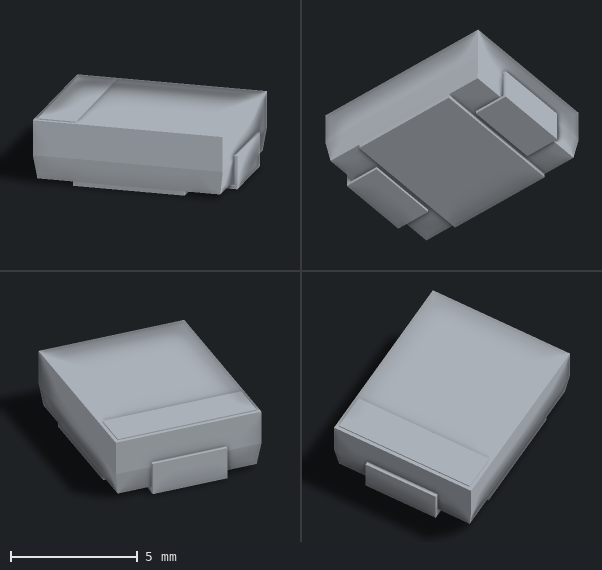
import cadquery as cq

overall_length = 8.13
overall_height = 2.67

housing_length = 7.82
housing_width = 6.25
edge_inset = 0.15
housing_bottom = 0.18
parting_height = 1.17
mark_thickness = 0.05
housing_top = overall_height - mark_thickness
base_length = housing_length - 2 * edge_inset
base_width = housing_width - 2 * edge_inset
standoff_length = 4.585

mark_length = 1.56
mark_width = housing_width - 2 * edge_inset

sheet_thickness = 0.12
terminal_width = 3.2
terminal_height = 1.38
foot_length = 1.53


def make_housing():
    """Moulded case with its standoff, in one piece."""
    upper = (
        cq.Workplane("XY", origin=(0, 0, parting_height))
        .rect(housing_length, housing_width)
        .extrude(housing_top - parting_height)
    )
    lower = (
        cq.Workplane("XY", origin=(0, 0, housing_bottom))
        .rect(base_length, base_width)
        .workplane(offset=parting_height - housing_bottom)
        .rect(housing_length, housing_width)
        .loft(ruled=True)
    )
    standoff = cq.Workplane("XY").rect(standoff_length, base_width).extrude(housing_bottom)
    return upper.union(lower).union(standoff)


def make_polarity_mark():
    """Thin rectangular plate resting on the housing."""
    center_x = -housing_length / 2 + edge_inset + mark_length / 2
    return (
        cq.Workplane("XY", origin=(center_x, 0, housing_top))
        .rect(mark_length, mark_width)
        .extrude(mark_thickness)
    )


def make_terminal(side):
    """Bent strip at one end: side is -1 for the -X end, +1 for the +X end."""
    outer_x = side * overall_length / 2
    inner_x = outer_x - side * sheet_thickness
    housing_x = side * housing_length / 2
    foot_x = outer_x - side * foot_length
    tab_bottom = terminal_height - sheet_thickness
    profile = [
        (foot_x, 0),
        (outer_x, 0),
        (outer_x, terminal_height),
        (housing_x, terminal_height),
        (housing_x, tab_bottom),
        (inner_x, tab_bottom),
        (inner_x, sheet_thickness),
        (foot_x, sheet_thickness),
    ]
    return cq.Workplane("XZ").polyline(profile).close().extrude(terminal_width / 2, both=True)


housing = make_housing()
polarity_mark = make_polarity_mark()
terminals = [make_terminal(side) for side in (-1, 1)]

result = cq.Compound.makeCompound(
    [housing.val(), polarity_mark.val(), *[terminal.val() for terminal in terminals]]
)